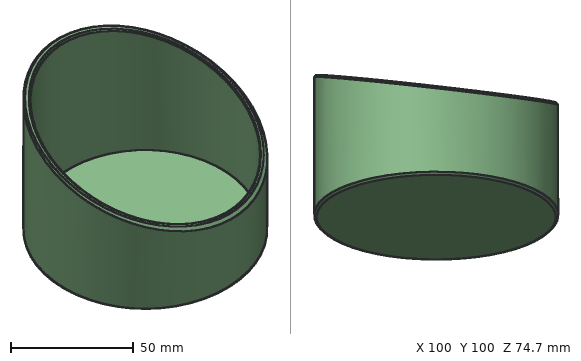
import cadquery as cq
import math

outer_diameter = 100.0
inner_diameter = 94.0
floor_thickness = 3.0
high_side = 75.0
low_side = high_side / 2
bottom_chamfer = 1.0
outer_rim_chamfer = 1.0
inner_rim_chamfer = 0.5

outer_radius = outer_diameter / 2
inner_radius = inner_diameter / 2
rim_slope = (high_side - low_side) / outer_diameter
rim_tilt = math.atan(rim_slope)
center_height = (high_side + low_side) / 2


def rim_ellipse(drop, x_min, x_max, half_width):
    """Ellipse on a plane parallel to the rim, a vertical drop below it, with the given plan extents."""
    x_middle = (x_min + x_max) / 2
    plane = cq.Plane(
        origin=(x_middle, 0, center_height - drop - rim_slope * x_middle),
        xDir=(math.cos(rim_tilt), 0, -math.sin(rim_tilt)),
        normal=(math.sin(rim_tilt), 0, math.cos(rim_tilt)),
    )
    half_length = (x_max - x_min) / 2 / math.cos(rim_tilt)
    return cq.Workplane(plane).ellipse(half_length, half_width).val()


def rim_frustum(radius, drop, direction):
    """Band between a wall and the rim, at 45 degrees to the wall.

    It narrows upward for direction -1 and widens upward for +1.
    """
    high_run = direction * drop / (1 - direction * rim_slope)
    low_run = direction * drop / (1 + direction * rim_slope)
    wall_edge = rim_ellipse(drop, -radius, radius, radius)
    rim_edge = rim_ellipse(0, -radius - high_run, radius + low_run, radius + direction * drop)
    return cq.Workplane(cq.Solid.makeLoft([wall_edge, rim_edge], True))


def slanted_cylinder(drop):
    """Solid outer cylinder cut by a plane a vertical drop below the rim."""
    cylinder = cq.Workplane("XY").circle(outer_radius).extrude(high_side)
    wedge = (
        cq.Workplane("XZ")
        .moveTo(-outer_radius, 0)
        .lineTo(outer_radius, 0)
        .lineTo(outer_radius, low_side - drop)
        .lineTo(-outer_radius, high_side - drop)
        .close()
        .extrude(outer_radius, both=True)
    )
    return cylinder.intersect(wedge)


def bore():
    """Round cavity above the floor, open at the rim."""
    return cq.Workplane("XY").workplane(offset=floor_thickness).circle(inner_radius).extrude(high_side)


body = slanted_cylinder(outer_rim_chamfer).faces("<Z").edges().chamfer(bottom_chamfer)
body = body.union(rim_frustum(outer_radius, outer_rim_chamfer, -1))

result = body.cut(bore()).cut(rim_frustum(inner_radius, inner_rim_chamfer, 1))